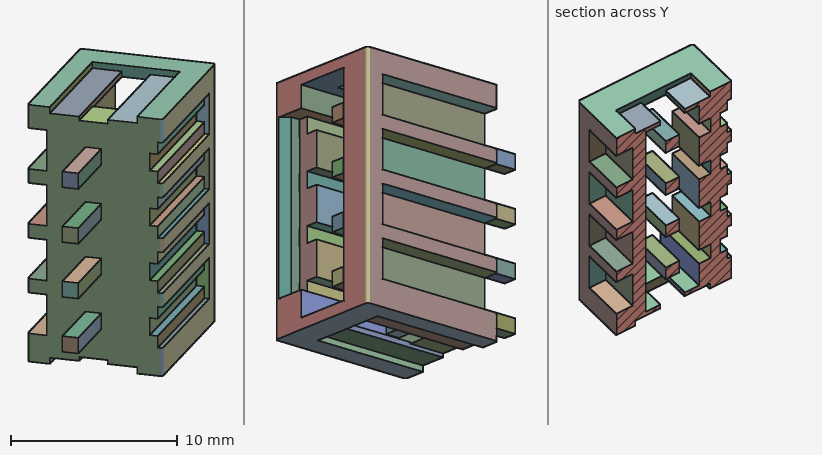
import cadquery as cq

body_width = 8.5
body_depth = 10.3
body_height = 16.4
corner_radius = 0.2
half_width = body_width / 2

pin_count = 4
pin_pitch = 3.5
pin_size = 1.0
pin_length_outside = 4.5
pin_length_inside = 9.1
pin_x = -0.1
first_pin_z = 3.1
pin_heights = [first_pin_z + i * pin_pitch for i in range(pin_count)]

pocket_height = 2.6
pocket_length = 9.1
left_pocket_depth = 1.2
right_pocket_depth = 0.3
right_groove_height = 1.1
right_groove_depth = 0.8

recess_width = 5.5
recess_length = 8.3
recess_depth = 0.4
slot_width = 1.8
slot_depth = 0.65
window_start = 2.6

cavity_width = 3.9
cavity_wall = 0.75
floor_step_length = 1.0
cavity_floor = window_start + floor_step_length
gutter_width = 0.57
channel_reach = 2.7
mouth_reach = 3.4
mouth_lead_in = 0.55


def box(x_range, y_range, z_range):
    """Axis-aligned box between the given limits."""
    size = [high - low for low, high in (x_range, y_range, z_range)]
    corner = (x_range[0], y_range[0], z_range[0])
    return cq.Workplane("XY").box(*size, centered=False).translate(corner)


def around(middle, size):
    """Limits of a span of the given size about its middle."""
    return (middle - size / 2, middle + size / 2)


def housing_block():
    block = box((-half_width, half_width), (0, body_depth), (0, body_height))
    return block.edges("|Z").fillet(corner_radius)


def side_pockets(pin_z):
    """Left pocket, and right pocket with its deeper central groove, beside one pin."""
    length = (0, pocket_length)
    pocket_z = around(pin_z, pocket_height)
    groove_z = around(pin_z, right_groove_height)
    left = box((-half_width, -half_width + left_pocket_depth), length, pocket_z)
    right = box((half_width - right_pocket_depth, half_width), length, pocket_z)
    groove = box((half_width - right_groove_depth, half_width), length, groove_z)
    return left.union(right).union(groove)


def end_recess(face_z, inward):
    """Wide recess, narrower slot and window in one end face; inward is +1 or -1 along Z."""

    def sunk(width, y_range, depth):
        z_range = sorted((face_z, face_z + inward * depth))
        return box(around(pin_x, width), y_range, z_range)

    recess = sunk(recess_width, (0, recess_length), recess_depth)
    slot = sunk(slot_width, (0, recess_length), slot_depth)
    window = sunk(slot_width, (window_start, recess_length), cavity_wall)
    return recess.union(slot).union(window)


def mating_cavity():
    """Cavity with a gutter at each end of its floor, side channels and a wider mouth with a lead-in."""
    cavity_x = around(pin_x, cavity_width)
    low_z = cavity_wall
    high_z = body_height - cavity_wall
    cavity = box(cavity_x, (cavity_floor, body_depth), (low_z, high_z))
    for gutter_z in ((low_z, low_z + gutter_width), (high_z - gutter_width, high_z)):
        cavity = cavity.union(box(cavity_x, (window_start, body_depth), gutter_z))
    for pin_z in pin_heights:
        channel_z = around(pin_z, right_groove_height)
        cavity = cavity.union(box((pin_x, channel_reach), (cavity_floor, body_depth), channel_z))
    mouth_z = (pin_heights[0] - right_groove_height / 2, pin_heights[-1] + right_groove_height / 2)
    mouth = box((pin_x, mouth_reach), (pocket_length, body_depth), mouth_z)
    lead_in = (
        cq.Workplane("XY")
        .moveTo(mouth_reach, body_depth - mouth_lead_in)
        .lineTo(mouth_reach + mouth_lead_in, body_depth)
        .lineTo(mouth_reach, body_depth)
        .close()
        .extrude(mouth_z[1] - mouth_z[0])
        .translate((0, 0, mouth_z[0]))
    )
    return cavity.union(mouth).union(lead_in)


def pin(pin_z):
    """Square pin reaching from in front of the housing into the cavity."""
    return box(around(pin_x, pin_size), (-pin_length_outside, pin_length_inside), around(pin_z, pin_size))


result = housing_block().cut(mating_cavity())
result = result.cut(end_recess(0, 1)).cut(end_recess(body_height, -1))
for height in pin_heights:
    result = result.cut(side_pockets(height))
for height in pin_heights:
    result = result.union(pin(height))